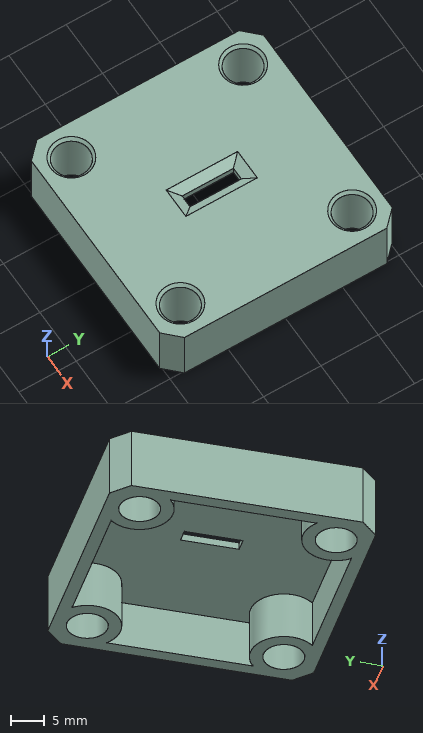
import cadquery as cq

side = 40.6
height = 10.0
corner_cut = 2.65
plate_thickness = 2.2
wall_thickness = 2.0

hole_spacing = 29.95
hole_diameter = 6.17
countersink_diameter = 7.2
countersink_depth = 0.5
post_diameter = hole_diameter + 2 * wall_thickness

mouth_x = 5.4
mouth_y = 12.45
throat_x = 2.15
throat_y = 8.95
taper_depth = 0.97


def block(width, depth):
    """Cut-corner square prism standing on the base plane."""
    return cq.Workplane("XY").rect(width, width).extrude(depth).edges("|Z").chamfer(corner_cut)


def hole_centers(z):
    """Workplane at height z with the four mounting hole centers selected."""
    return cq.Workplane("XY", origin=(0, 0, z)).rect(hole_spacing, hole_spacing, forConstruction=True).vertices()


def hollow_body():
    """Block opened from below, with a post left around each mounting hole."""
    cavity = block(side - 2 * wall_thickness, height - plate_thickness)
    posts = hole_centers(0).circle(post_diameter / 2).extrude(height - plate_thickness)
    return block(side, height).cut(cavity.cut(posts))


def mounting_holes():
    """Through bores with a conical countersink at the top face."""
    bores = hole_centers(0).circle(hole_diameter / 2).extrude(height)
    cone = cq.Workplane(
        cq.Solid.makeCone(
            hole_diameter / 2,
            countersink_diameter / 2,
            countersink_depth,
        )
    )
    countersinks = hole_centers(height - countersink_depth).eachpoint(cone.val(), combine=False)
    return bores.union(countersinks)


def tapered_slot():
    """Straight throat through the plate with a pyramidal mouth at the top."""
    throat = cq.Workplane("XY").rect(throat_x, throat_y).extrude(height)
    mouth = (
        cq.Workplane("XY", origin=(0, 0, height - taper_depth))
        .rect(throat_x, throat_y)
        .workplane(offset=taper_depth)
        .rect(mouth_x, mouth_y)
        .loft(ruled=True)
    )
    return throat.union(mouth)


result = hollow_body().cut(mounting_holes()).cut(tapered_slot())